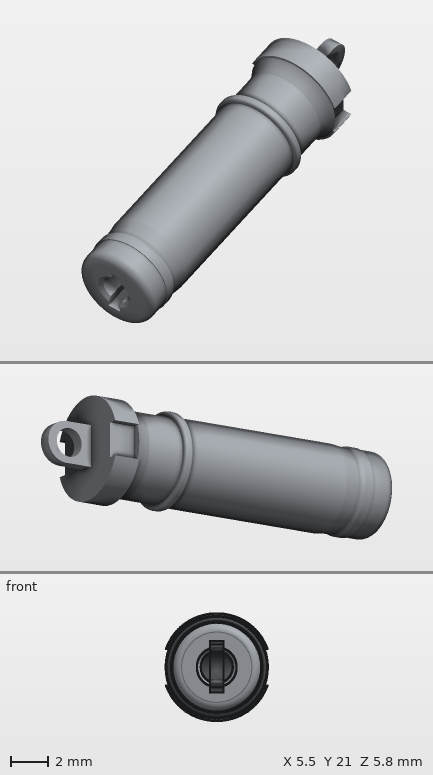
import cadquery as cq


total_length = 21.0
collar_rear_y = 18.25
collar_length = 1.53
collar_front_y = collar_rear_y - collar_length
flare_length = 0.86
flare_front_y = collar_front_y - flare_length
sleeve_front_y = 1.5
sleeve_rear_y = 13.69

nose_radius = 2.4
nose_fillet = 0.5
seat_radius = 2.18
neck_radius = 2.4
flare_radius = 2.75
flare_middle_radius = 2.52
collar_radius = 2.9
notch_width = 1.95
notch_floor_x = 2.2

socket_radius = 0.86
socket_chamfer = 0.2
socket_depth = 2.1
trough_radius = 0.9
slot_height = 2.77
slot_center_z = 0.031

sleeve_radius = 2.45
flange_radius = 2.7
flange_width = 0.52
flange_fillet = 0.17
groove_rear_y = 3.17
groove_bottom_y = 2.25
groove_front_y = 2.0
groove_bottom_radius = 2.35

blade_thickness = 0.73
blade_height = 2.33
blade_center_z = 0.06
blade_end_radius = blade_height / 2
tab_hole_radius = 0.8
tab_hole_y = total_length - 1.35
throat_radius = 0.78
prong_fillet = 0.17


def cylinder_along_y(radius, start_y, end_y):
    """Solid cylinder on the common axis."""
    return cq.Workplane("XZ", origin=(0, start_y, 0)).circle(radius).extrude(start_y - end_y)


def block_along_y(width, height, start_y, end_y, center_z=0):
    """Rectangular block centred on X, spanning start_y to end_y."""
    middle_y = (start_y + end_y) / 2
    return cq.Workplane("XY").box(width, end_y - start_y, height).translate((0, middle_y, center_z))


def cylinder_along_x(radius, y, z, length):
    """Cross cylinder centred on X = 0."""
    return cq.Workplane("YZ", origin=(-length / 2, 0, 0)).center(y, z).circle(radius).extrude(length)


def revolve_about_y(profile):
    return profile.close().revolve(360, (0, 0, 0), (0, 1, 0))


def make_insulator_blank():
    profile = (
        cq.Workplane("XY")
        .moveTo(0, 0)
        .lineTo(nose_radius - nose_fillet, 0)
        .radiusArc((nose_radius, nose_fillet), -nose_fillet)
        .lineTo(nose_radius, sleeve_front_y)
        .lineTo(seat_radius, sleeve_front_y)
        .lineTo(seat_radius, sleeve_rear_y)
        .lineTo(neck_radius, sleeve_rear_y)
        .lineTo(neck_radius, flare_front_y)
        .threePointArc(
            (flare_middle_radius, flare_front_y + flare_length / 2),
            (flare_radius, collar_front_y),
        )
        .lineTo(collar_radius, collar_front_y)
        .lineTo(collar_radius, collar_rear_y)
        .lineTo(0, collar_rear_y)
    )
    return revolve_about_y(profile)


def cut_collar_notches(insulator):
    """Flat-bottomed notches through the +X and -X sides of the collar."""
    notch_depth = collar_radius - notch_floor_x
    notch_center_x = (collar_radius + notch_floor_x) / 2
    for side in (-1, 1):
        notch = block_along_y(notch_depth, notch_width, collar_front_y, collar_rear_y)
        insulator = insulator.cut(notch.translate((side * notch_center_x, 0, 0)))
    return insulator


def cut_test_socket(insulator):
    """Chamfered round socket with a trough-shaped floor, crossed by a slot for the blade."""
    envelope_width = 3 * socket_radius
    bore_envelope = block_along_y(envelope_width, envelope_width, 0, socket_depth).union(
        cylinder_along_x(trough_radius, socket_depth, 0, envelope_width)
    )
    bore = cylinder_along_y(socket_radius, 0, socket_depth + trough_radius).intersect(bore_envelope)
    countersink = revolve_about_y(
        cq.Workplane("XY")
        .moveTo(0, 0)
        .lineTo(socket_radius + socket_chamfer, 0)
        .lineTo(socket_radius, socket_chamfer)
        .lineTo(0, socket_chamfer)
    )
    slot = block_along_y(blade_thickness, slot_height, 0, socket_depth, slot_center_z)
    return insulator.cut(bore).cut(countersink).cut(slot)


def make_insulator():
    insulator = cut_test_socket(cut_collar_notches(make_insulator_blank()))
    blade_passage = block_along_y(
        blade_thickness, blade_height, socket_depth, collar_rear_y, blade_center_z
    )
    return insulator.cut(blade_passage)


def make_sleeve():
    """Thin sleeve with a crimp groove near its front and a rounded flange at its rear."""
    flange_front_y = sleeve_rear_y - flange_width
    profile = (
        cq.Workplane("XY")
        .moveTo(seat_radius, sleeve_front_y)
        .lineTo(sleeve_radius, sleeve_front_y)
        .lineTo(sleeve_radius, groove_front_y)
        .lineTo(groove_bottom_radius, groove_bottom_y)
        .lineTo(sleeve_radius, groove_rear_y)
        .lineTo(sleeve_radius, flange_front_y)
        .lineTo(flange_radius - flange_fillet, flange_front_y)
        .radiusArc((flange_radius, flange_front_y + flange_fillet), -flange_fillet)
        .lineTo(flange_radius, sleeve_rear_y - flange_fillet)
        .radiusArc((flange_radius - flange_fillet, sleeve_rear_y), -flange_fillet)
        .lineTo(seat_radius, sleeve_rear_y)
    )
    return revolve_about_y(profile)


def make_contact():
    """Blade with a two-pronged fork at the socket and a ring tab behind the collar."""
    tab_end_y = total_length - blade_end_radius
    blade = block_along_y(blade_thickness, blade_height, socket_depth, tab_end_y, blade_center_z)
    tab_end = cylinder_along_x(blade_end_radius, tab_end_y, blade_center_z, blade_thickness)
    tab_hole = cylinder_along_x(tab_hole_radius, tab_hole_y, blade_center_z, blade_thickness)
    throat = cylinder_along_x(throat_radius, socket_depth, blade_center_z, blade_thickness)
    contact = blade.union(tab_end).cut(tab_hole).cut(throat)
    return contact.faces("<Y").edges("|X").fillet(prong_fillet)


insulator = make_insulator()
sleeve = make_sleeve()
contact = make_contact()

result = cq.Compound.makeCompound([insulator.solids().val(), sleeve.val(), contact.solids().val()])